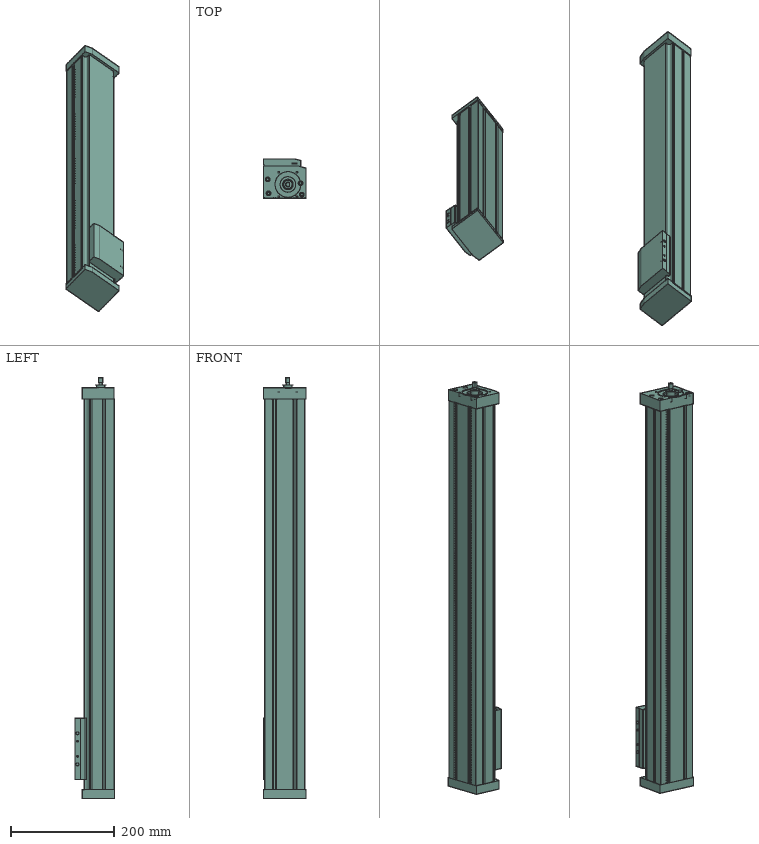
import cadquery as cq
TOTAL_LENGTH = 814.0
WIDTH = 82.0
TOTAL_HEIGHT = 76.5

UPPER_PLATE_FOOT = 1.0
PLATE_HEIGHT = 63.0
PLATE_LOW_SIDE = 59.0
PLATE_FLAT_WIDTH = 67.5
LOWER_PLATE_THICKNESS = 17.0
UPPER_PLATE_BOTTOM = 772.5
UPPER_PLATE_TOP = 794.5
UPPER_PLATE_THICKNESS = UPPER_PLATE_TOP - UPPER_PLATE_BOTTOM

SHAFT_X = 47.0
SHAFT_Y = 27.0
TIP_DIAMETER = 9.0
TIP_BOTTOM = 804.0
NECK_DIAMETER = 7.0
FLANGE_DIAMETER = 20.0
FLANGE_TOP = 800.0
FLANGE_THICKNESS = 1.0
JOURNAL_DIAMETER = 16.0

PILOT_DIAMETER = 50.0
PILOT_DEPTH = 2.0
BORE_DIAMETER = 30.0
BORE_DEPTH = 5.0
MOTOR_HOLE_DIAMETER = 3.0
MOTOR_HOLE_DEPTH = 8.0
MOTOR_HOLE_SPACING_X = 35.0
MOTOR_HOLE_SPACING_Y = 47.0
SCREW_POSITIONS = [(8.0, 37.0), (10.0, 10.0), (72.0, 29.0), (74.0, 7.0)]
SCREW_HEAD_DIAMETER = 9.0
SCREW_HEAD_DEPTH = 5.0
SCREW_HOLE_DIAMETER = 5.0

SIDE_INSET = 2.0
EDGE_CHAMFER = 1.0
PROFILE_HEIGHT = 59.0
SHOULDER_HEIGHT = 49.0
SHOULDER_RADIUS = 5.0
SHOULDER_WIDTH = 9.0
TOP_CHAMFER = 1.0
GROOVE_BOTTOM = 44.0
GROOVE_WIDTH = 2.5
GROOVE_DEPTH = 2.5
SLOT_OPENING = 3.0
SLOT_CHAMFER_DEPTH = 2.0
SLOT_LIP = 2.5
BOTTOM_SLOT_MOUTH = 7.0
SIDE_SLOT_MOUTH = 6.0
SLOT_WIDTH = 10.0
SLOT_DEPTH = 7.0
BOTTOM_SLOT_SPACING = 40.0
SIDE_SLOT_Y = 20.0

CARRIAGE_BOTTOM = 37.0
CARRIAGE_LENGTH = 119.0
CARRIAGE_WIDTH = 72.5
CARRIAGE_FLAT_WIDTH = 60.0
CARRIAGE_SHOULDER = 73.0
SKIRT_TOP = 66.0
SKIRT_BOTTOM = 54.5
SKIRT_STEP_Y = 57.0
SKIRT_STEP_INSET = 2.0
SKIRT_INSET = 1.0
SKIRT_INNER_X = 6.5
SIDE_HOLE_Y = 72.0
SIDE_HOLES = [(6.0, 60.0), (3.0, 29.0)]
SIDE_HOLE_DEPTH = 6.5
END_POCKET_X = 60.0
END_POCKET_Y = 67.5
END_POCKET_WIDTH = 10.0
END_POCKET_HEIGHT = 2.0
END_POCKET_DEPTH = 4.0


def end_plate(foot, bottom, thickness):
    outline = [
        (0, foot),
        (WIDTH, foot),
        (WIDTH, PLATE_LOW_SIDE),
        (PLATE_FLAT_WIDTH, PLATE_HEIGHT),
        (0, PLATE_HEIGHT),
    ]
    return cq.Workplane("XY").workplane(offset=bottom).polyline(outline).close().extrude(thickness)


def disc(x, y, diameter, bottom, top):
    return cq.Workplane("XY").workplane(offset=bottom).center(x, y).circle(diameter / 2).extrude(top - bottom)


def upper_plate():
    plate = end_plate(UPPER_PLATE_FOOT, UPPER_PLATE_BOTTOM, UPPER_PLATE_THICKNESS)
    top = UPPER_PLATE_TOP
    plate = plate.cut(disc(SHAFT_X, SHAFT_Y, PILOT_DIAMETER, top - PILOT_DEPTH, top))
    plate = plate.cut(disc(SHAFT_X, SHAFT_Y, BORE_DIAMETER, top - BORE_DEPTH, top))
    plate = plate.cut(disc(SHAFT_X, SHAFT_Y, JOURNAL_DIAMETER, UPPER_PLATE_BOTTOM, top))
    for sx in (-1, 1):
        for sy in (-1, 1):
            x = SHAFT_X + sx * MOTOR_HOLE_SPACING_X / 2
            y = SHAFT_Y + sy * MOTOR_HOLE_SPACING_Y / 2
            plate = plate.cut(disc(x, y, MOTOR_HOLE_DIAMETER, top - MOTOR_HOLE_DEPTH, top))
    for x, y in SCREW_POSITIONS:
        plate = plate.cut(disc(x, y, SCREW_HEAD_DIAMETER, top - SCREW_HEAD_DEPTH, top))
        plate = plate.cut(disc(x, y, SCREW_HOLE_DIAMETER, UPPER_PLATE_BOTTOM, top))
    return plate


def drive_shaft():
    shaft = disc(SHAFT_X, SHAFT_Y, JOURNAL_DIAMETER, UPPER_PLATE_BOTTOM, FLANGE_TOP)
    shaft = shaft.union(disc(SHAFT_X, SHAFT_Y, FLANGE_DIAMETER, FLANGE_TOP - FLANGE_THICKNESS, FLANGE_TOP))
    shaft = shaft.union(disc(SHAFT_X, SHAFT_Y, NECK_DIAMETER, FLANGE_TOP, TIP_BOTTOM))
    shaft = shaft.union(disc(SHAFT_X, SHAFT_Y, TIP_DIAMETER, TIP_BOTTOM, TOTAL_LENGTH))
    flat_cutter = cq.Workplane("XY").box(
        TIP_DIAMETER, TIP_DIAMETER, TOTAL_LENGTH - TIP_BOTTOM, centered=(False, True, False)
    )
    return shaft.cut(flat_cutter.translate((SHAFT_X + NECK_DIAMETER / 2, SHAFT_Y, TIP_BOTTOM)))


def slot(x, y, mouth, turn):
    """T-slot cutter opening toward -Y before it is turned about Z."""
    points = [
        (-mouth / 2, 0),
        (mouth / 2, 0),
        (SLOT_OPENING / 2, SLOT_CHAMFER_DEPTH),
        (SLOT_OPENING / 2, SLOT_LIP),
        (SLOT_WIDTH / 2, SLOT_LIP),
        (SLOT_WIDTH / 2, SLOT_DEPTH),
        (-SLOT_WIDTH / 2, SLOT_DEPTH),
        (-SLOT_WIDTH / 2, SLOT_LIP),
        (-SLOT_OPENING / 2, SLOT_LIP),
        (-SLOT_OPENING / 2, SLOT_CHAMFER_DEPTH),
    ]
    length = UPPER_PLATE_BOTTOM - LOWER_PLATE_THICKNESS
    cutter = cq.Workplane("XY").polyline(points).close().extrude(length)
    return cutter.rotate((0, 0, 0), (0, 0, 1), turn).translate((x, y, LOWER_PLATE_THICKNESS))


def profile_outline():
    """Closed half section on the -X side, from the foot of the centre line to its top."""
    left = SIDE_INSET
    center = WIDTH / 2
    wall = left + SHOULDER_WIDTH
    return (
        cq.Workplane("XY").workplane(offset=LOWER_PLATE_THICKNESS)
        .moveTo(center, 0)
        .lineTo(left + EDGE_CHAMFER, 0)
        .lineTo(left, EDGE_CHAMFER)
        .lineTo(left, GROOVE_BOTTOM)
        .lineTo(left + GROOVE_DEPTH, GROOVE_BOTTOM)
        .lineTo(left + GROOVE_DEPTH, GROOVE_BOTTOM + GROOVE_WIDTH)
        .lineTo(left, GROOVE_BOTTOM + GROOVE_WIDTH)
        .lineTo(left, SHOULDER_HEIGHT)
        .lineTo(wall - SHOULDER_RADIUS, SHOULDER_HEIGHT)
        .radiusArc((wall, SHOULDER_HEIGHT + SHOULDER_RADIUS), -SHOULDER_RADIUS)
        .lineTo(wall, PROFILE_HEIGHT - TOP_CHAMFER)
        .lineTo(wall + TOP_CHAMFER, PROFILE_HEIGHT)
        .lineTo(center, PROFILE_HEIGHT)
        .close()
    )


def profile():
    half = profile_outline().extrude(UPPER_PLATE_BOTTOM - LOWER_PLATE_THICKNESS)
    half = half.cut(slot(WIDTH / 2 - BOTTOM_SLOT_SPACING / 2, 0, BOTTOM_SLOT_MOUTH, 0))
    half = half.cut(slot(SIDE_INSET, SIDE_SLOT_Y, SIDE_SLOT_MOUTH, -90))
    return half.union(half.mirror("YZ", (WIDTH / 2, 0, 0))).clean()


def carriage():
    outline = [
        (SKIRT_STEP_INSET, SKIRT_BOTTOM),
        (SKIRT_INNER_X, SKIRT_BOTTOM),
        (SKIRT_INNER_X, PROFILE_HEIGHT),
        (CARRIAGE_WIDTH, PROFILE_HEIGHT),
        (CARRIAGE_WIDTH, CARRIAGE_SHOULDER),
        (CARRIAGE_FLAT_WIDTH, TOTAL_HEIGHT),
        (0, TOTAL_HEIGHT),
        (0, SKIRT_TOP),
        (SKIRT_INSET, SKIRT_TOP),
        (SKIRT_INSET, SKIRT_STEP_Y),
        (SKIRT_STEP_INSET, SKIRT_STEP_Y),
    ]
    base = cq.Workplane("XY").workplane(offset=CARRIAGE_BOTTOM)
    body = base.polyline(outline).close().extrude(CARRIAGE_LENGTH)
    middle = CARRIAGE_BOTTOM + CARRIAGE_LENGTH / 2
    for diameter, spacing in SIDE_HOLES:
        for side in (-1, 1):
            z = middle + side * spacing / 2
            hole = cq.Workplane("YZ").center(SIDE_HOLE_Y, z).circle(diameter / 2).extrude(SIDE_HOLE_DEPTH)
            body = body.cut(hole)
    pocket = cq.Workplane("XY").box(END_POCKET_WIDTH, END_POCKET_HEIGHT, END_POCKET_DEPTH)
    pocket_z = CARRIAGE_BOTTOM + CARRIAGE_LENGTH - END_POCKET_DEPTH / 2
    return body.cut(pocket.translate((END_POCKET_X, END_POCKET_Y, pocket_z)))


lower_end = end_plate(0, 0, LOWER_PLATE_THICKNESS)
upper_end = upper_plate()
shaft = drive_shaft()
rail = profile()
slider = carriage()

result = cq.Compound.makeCompound([
    lower_end.val(),
    upper_end.val(),
    shaft.val(),
    rail.val(),
    slider.val(),
])